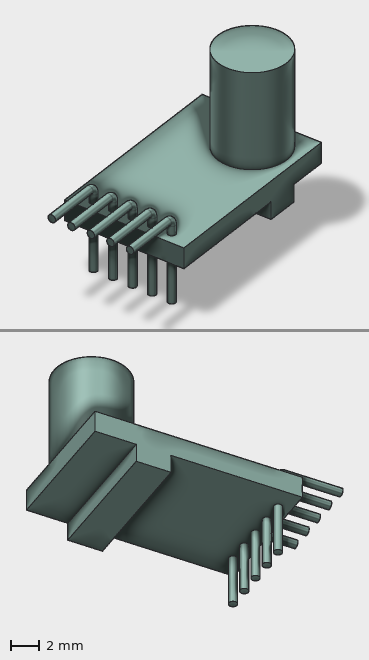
import cadquery as cq

board_width = 10.4
board_length = 16.55
board_thickness = 1.77

cylinder_diameter = 6.0
cylinder_height = 8.25
cylinder_x = 6.73
cylinder_y = board_length - 3.25

bar_length = 2.78
bar_depth = 1.5
bar_back_inset = 3.3

pin_count = 5
pin_pitch = 1.7
pin_diameter = 0.65
pin_inset = 1.0
pin_overhang = 4.01
pin_drop = 4.03
pin_axis_height = 1.28
bend_radius = 0.5


def make_board():
    return cq.Workplane("XY").box(
        board_width, board_length, board_thickness, centered=False
    ).translate((0, 0, -board_thickness))


def make_cylinder():
    return (
        cq.Workplane("XY")
        .center(cylinder_x, cylinder_y)
        .circle(cylinder_diameter / 2)
        .extrude(cylinder_height)
    )


def make_bar():
    bar_y = board_length - bar_back_inset - bar_length
    return cq.Workplane("XY").box(
        board_width, bar_length, bar_depth, centered=False
    ).translate((0, bar_y, -board_thickness - bar_depth))


def make_pin(x):
    """Round pin that rises through the board and bends forward toward -Y."""
    pin_bottom = -board_thickness - pin_drop
    path = (
        cq.Workplane("YZ", origin=(x, 0, 0))
        .moveTo(pin_inset, pin_bottom)
        .lineTo(pin_inset, pin_axis_height - bend_radius)
        .tangentArcPoint((pin_inset - bend_radius, pin_axis_height), relative=False)
        .lineTo(-pin_overhang, pin_axis_height)
    )
    return (
        cq.Workplane("XY", origin=(x, pin_inset, pin_bottom))
        .circle(pin_diameter / 2)
        .sweep(path)
    )


result = make_board().union(make_cylinder()).union(make_bar())
for index in range(pin_count):
    offset = (index - (pin_count - 1) / 2) * pin_pitch
    result = result.union(make_pin(board_width / 2 + offset))